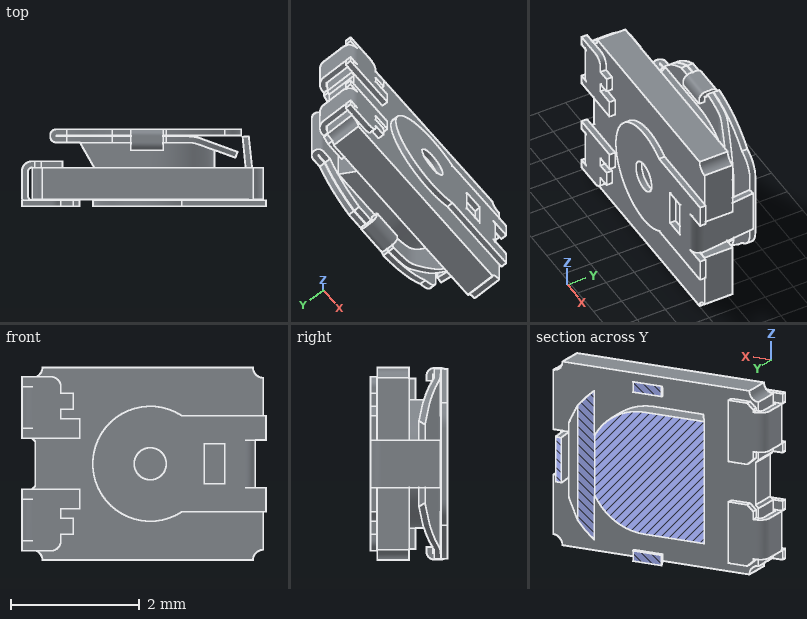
import cadquery as cq
import math

SHEET = 0.1

HOUSING_FRONT = 0.105
HOUSING_BACK = HOUSING_FRONT + 0.5
HOUSING_LEFT = -1.84
HOUSING_RIGHT = 1.76
HOUSING_HEIGHT = 3.0
CORNER_RADIUS = 0.16
RECESS_DEPTH = 0.05
RECESS_HALF_HEIGHT = 0.345

DISC_RADIUS = 0.895
ARM_HALF_HEIGHT = 0.75
ARM_RIGHT = 1.805
CENTRE_HOLE_DIAMETER = 0.5
WINDOW_LEFT = 0.84
WINDOW_RIGHT = 1.16
WINDOW_HEIGHT = 0.62
TAB_HALF_HEIGHT = 0.37
TAB_INNER_X = 1.53
TAB_TIP_Y = 1.095
TAB_LEAN = math.radians(5.5)
TAB_BEND_RADIUS = 0.15
TAB_ROOT_X = 1.485

TERMINAL_LEFT = -2.0
FOOT_OUTER_Z = 1.355
FOOT_INNER_Z = 0.395
FOOT_RIGHT = -1.39
FOOT_CORNER_RADIUS = 0.16
SHORT_FINGER_RIGHT = -1.195
SHORT_FINGER_TOP_Z = 1.1
SHORT_FINGER_BOTTOM_Z = 0.845
LONG_FINGER_RIGHT = -1.1
LONG_FINGER_TOP_Z = 0.697
STRAP_OUTER_Z = 1.197
STRAP_INNER_Z = 0.552
STRAP_BEND_RADIUS = 0.16
PLATE_LEFT = -1.8
PLATE_RIGHT = -1.365
PLATE_OUTER_Z = 1.33
PLATE_INNER_Z = 0.33
PLATE_CHAMFER_X = 0.105
PLATE_CHAMFER_Z = 0.093

ROTOR_RADIUS = 1.0
ROTOR_FOOT_LEFT = -0.875
ROTOR_TOP_LEFT = -1.095

COVER_BACK = 1.203
FOLD_GAP = 0.01
UPPER_FRONT = COVER_BACK - SHEET
LOWER_BACK = UPPER_FRONT - FOLD_GAP
LOWER_FRONT = LOWER_BACK - SHEET
COVER_RADIUS = 1.5
COVER_FLAT_Z = 1.38
FOLD_HALF_HEIGHT = 0.75
FOLD_LEFT = -1.56
FOLD_RADIUS = 0.1
NOSE_START_X = 1.158
NOSE_START_Z = math.sqrt(COVER_RADIUS**2 - NOSE_START_X**2)
NOSE_RIGHT = 1.417
NOSE_RADIUS = 0.42
FLAP_BEND_X = 0.597
FLAP_BEND_RADIUS = 0.45
FLAP_ANGLE = math.radians(20)
FLAP_TIP_X = 1.36
FLAP_TIP_HALF_HEIGHT = 0.61
STEP_TOP_X = 0.252
CLIP_LEFT = -0.302
CLIP_RIGHT = 0.2
CLIP_OUTER_Z = 1.492
CLIP_FRONT = 0.872
CLIP_LIP_Z = 1.292
CLIP_BACK_BEND_RADIUS = 0.1
CLIP_FRONT_BEND_RADIUS = 0.122


def extrude_y(outline, front, back):
    """Extrude an outline drawn on an "XZ" workplane from y = front to y = back."""
    return outline.extrude(front - back).translate((0, front, 0))


def block(x0, x1, y0, y1, z0, z1):
    return cq.Workplane("XY").box(x1 - x0, y1 - y0, z1 - z0, centered=False).translate((x0, y0, z0))


def mirror_z(body):
    return body.mirror("XY")


def tab_inner_x(y):
    """X of the inner face of the leaning tab at a given y."""
    return TAB_INNER_X - (y - SHEET) * math.tan(TAB_LEAN)


def on_flap_bend(radius, angle):
    """Point on the bend at the root of the flap."""
    centre_y = LOWER_FRONT - FLAP_BEND_RADIUS
    return FLAP_BEND_X + radius * math.sin(angle), centre_y + radius * math.cos(angle)


def make_housing():
    top = HOUSING_HEIGHT / 2
    body = block(HOUSING_LEFT, HOUSING_RIGHT, HOUSING_FRONT, HOUSING_BACK, -top, top)
    corners = [(x, z) for x in (HOUSING_LEFT, HOUSING_RIGHT) for z in (-top, top)]
    scoops = cq.Workplane("XZ").pushPoints(corners).circle(CORNER_RADIUS)
    body = body.cut(extrude_y(scoops, HOUSING_FRONT, HOUSING_BACK))

    floor_x = HOUSING_LEFT + RECESS_DEPTH
    mouth = RECESS_HALF_HEIGHT + RECESS_DEPTH
    recess = cq.Workplane("XZ").polyline([
        (HOUSING_LEFT, -mouth),
        (floor_x, -RECESS_HALF_HEIGHT),
        (floor_x, RECESS_HALF_HEIGHT),
        (HOUSING_LEFT, mouth),
    ]).close()
    body = body.cut(extrude_y(recess, HOUSING_FRONT, HOUSING_BACK))

    slot_left = tab_inner_x(HOUSING_BACK)
    slot = block(slot_left, HOUSING_RIGHT, HOUSING_FRONT, HOUSING_BACK, -TAB_HALF_HEIGHT, TAB_HALF_HEIGHT)
    return body.cut(slot)


def make_centre_terminal():
    junction_x = math.sqrt(DISC_RADIUS**2 - ARM_HALF_HEIGHT**2)
    outline = (
        cq.Workplane("XZ").moveTo(ARM_RIGHT, -ARM_HALF_HEIGHT)
        .lineTo(ARM_RIGHT, ARM_HALF_HEIGHT)
        .lineTo(junction_x, ARM_HALF_HEIGHT)
        .threePointArc((0, DISC_RADIUS), (-DISC_RADIUS, 0))
        .threePointArc((0, -DISC_RADIUS), (junction_x, -ARM_HALF_HEIGHT))
        .close()
    )
    body = extrude_y(outline, 0, SHEET)
    hole = extrude_y(cq.Workplane("XZ").circle(CENTRE_HOLE_DIAMETER / 2), 0, SHEET)
    window = block(WINDOW_LEFT, WINDOW_RIGHT, 0, SHEET, -WINDOW_HEIGHT / 2, WINDOW_HEIGHT / 2)
    prong_gap = block(TAB_ROOT_X, ARM_RIGHT, 0, SHEET, -TAB_HALF_HEIGHT, TAB_HALF_HEIGHT)
    body = body.cut(hole).cut(window).cut(prong_gap)

    across = (math.cos(TAB_LEAN), math.sin(TAB_LEAN))
    tip_inner_y = TAB_TIP_Y - SHEET * across[1]
    tip_inner = (tab_inner_x(tip_inner_y), tip_inner_y)
    root_inner = (TAB_INNER_X, SHEET)
    tip_outer = (tip_inner[0] + SHEET * across[0], tip_inner[1] + SHEET * across[1])
    bend_centre = (TAB_ROOT_X, TAB_BEND_RADIUS)
    bend_end = (
        bend_centre[0] + TAB_BEND_RADIUS * across[0],
        bend_centre[1] + TAB_BEND_RADIUS * across[1],
    )
    middle_angle = (TAB_LEAN - math.pi / 2) / 2
    bend_middle = (
        bend_centre[0] + TAB_BEND_RADIUS * math.cos(middle_angle),
        bend_centre[1] + TAB_BEND_RADIUS * math.sin(middle_angle),
    )
    tab = (
        cq.Workplane("XY").moveTo(TAB_ROOT_X, 0)
        .threePointArc(bend_middle, bend_end)
        .lineTo(*tip_outer).lineTo(*tip_inner).lineTo(*root_inner).lineTo(TAB_ROOT_X, SHEET).close()
        .extrude(TAB_HALF_HEIGHT, both=True)
    )
    return body.union(tab)


def make_side_terminal():
    foot_outline = (
        cq.Workplane("XZ").moveTo(TERMINAL_LEFT, FOOT_INNER_Z)
        .lineTo(LONG_FINGER_RIGHT, FOOT_INNER_Z)
        .lineTo(LONG_FINGER_RIGHT, LONG_FINGER_TOP_Z)
        .lineTo(FOOT_RIGHT, LONG_FINGER_TOP_Z)
        .lineTo(FOOT_RIGHT, SHORT_FINGER_BOTTOM_Z)
        .lineTo(SHORT_FINGER_RIGHT, SHORT_FINGER_BOTTOM_Z)
        .lineTo(SHORT_FINGER_RIGHT, SHORT_FINGER_TOP_Z)
        .lineTo(FOOT_RIGHT, SHORT_FINGER_TOP_Z)
        .lineTo(FOOT_RIGHT, FOOT_OUTER_Z - FOOT_CORNER_RADIUS)
        .tangentArcPoint((FOOT_RIGHT - FOOT_CORNER_RADIUS, FOOT_OUTER_Z), relative=False)
        .lineTo(TERMINAL_LEFT, FOOT_OUTER_Z)
        .close()
    )
    foot = extrude_y(foot_outline, 0, SHEET)
    bend_end_x = TERMINAL_LEFT + STRAP_BEND_RADIUS
    foot = foot.cut(block(TERMINAL_LEFT, bend_end_x, 0, SHEET, STRAP_INNER_Z, STRAP_OUTER_Z))

    plate_back = HOUSING_BACK + SHEET
    outside = (
        block(TERMINAL_LEFT, PLATE_LEFT, 0, plate_back, STRAP_INNER_Z, STRAP_OUTER_Z)
        .edges("<X and |Z").fillet(STRAP_BEND_RADIUS)
    )
    inside = (
        block(TERMINAL_LEFT + SHEET, PLATE_RIGHT, SHEET, HOUSING_BACK, STRAP_INNER_Z, STRAP_OUTER_Z)
        .edges("<X and |Z").fillet(STRAP_BEND_RADIUS - SHEET)
    )
    strap = outside.cut(inside)

    plate_outline = cq.Workplane("XZ").polyline([
        (PLATE_LEFT, PLATE_INNER_Z + PLATE_CHAMFER_Z),
        (PLATE_LEFT + PLATE_CHAMFER_X, PLATE_INNER_Z),
        (PLATE_RIGHT, PLATE_INNER_Z),
        (PLATE_RIGHT, PLATE_OUTER_Z),
        (PLATE_LEFT + PLATE_CHAMFER_X, PLATE_OUTER_Z),
        (PLATE_LEFT, PLATE_OUTER_Z - PLATE_CHAMFER_Z),
    ]).close()
    plate = extrude_y(plate_outline, HOUSING_BACK, plate_back)
    return foot.union(strap).union(plate)


def make_rotor():
    bend_end = on_flap_bend(FLAP_BEND_RADIUS, FLAP_ANGLE)
    right_top_y = bend_end[1] - (ROTOR_RADIUS - bend_end[0]) * math.tan(FLAP_ANGLE)
    side = (
        cq.Workplane("XY").moveTo(ROTOR_FOOT_LEFT, HOUSING_BACK)
        .lineTo(ROTOR_RADIUS, HOUSING_BACK)
        .lineTo(ROTOR_RADIUS, right_top_y)
        .lineTo(*bend_end)
        .threePointArc(on_flap_bend(FLAP_BEND_RADIUS, FLAP_ANGLE / 2), (FLAP_BEND_X, LOWER_FRONT))
        .lineTo(ROTOR_TOP_LEFT, LOWER_FRONT)
        .close()
        .extrude(ROTOR_RADIUS, both=True)
    )
    outline = (
        cq.Workplane("XZ").moveTo(ROTOR_TOP_LEFT, -ROTOR_RADIUS)
        .lineTo(0, -ROTOR_RADIUS)
        .threePointArc((ROTOR_RADIUS, 0), (0, ROTOR_RADIUS))
        .lineTo(ROTOR_TOP_LEFT, ROTOR_RADIUS)
        .close()
    )
    return side.intersect(extrude_y(outline, HOUSING_BACK, LOWER_FRONT))


def on_cover_circle(angle):
    return COVER_RADIUS * math.cos(angle), COVER_RADIUS * math.sin(angle)


def rounded_end(outline):
    """Right end of the upper leaf: a straight edge with a round corner."""
    centre_x = NOSE_RIGHT - NOSE_RADIUS
    start_angle = math.acos((NOSE_START_X - centre_x) / NOSE_RADIUS)
    centre_z = NOSE_START_Z - NOSE_RADIUS * math.sin(start_angle)
    middle = (
        centre_x + NOSE_RADIUS * math.cos(start_angle / 2),
        centre_z + NOSE_RADIUS * math.sin(start_angle / 2),
    )
    return outline.threePointArc(middle, (NOSE_RIGHT, centre_z)).lineTo(NOSE_RIGHT, 0)


def flap_end(outline):
    """Right end of the lower leaf: a straight taper to the flap tip."""
    return outline.lineTo(FLAP_TIP_X, FLAP_TIP_HALF_HEIGHT).lineTo(FLAP_TIP_X, 0)


def cover_outline(draw_right_end):
    """Upper half of the outline of one leaf, from the fold to the right end."""
    fold_angle = math.pi - math.asin(FOLD_HALF_HEIGHT / COVER_RADIUS)
    flat_angle = math.pi - math.asin(COVER_FLAT_Z / COVER_RADIUS)
    step_angle = math.acos(STEP_TOP_X / COVER_RADIUS)
    nose_angle = math.acos(NOSE_START_X / COVER_RADIUS)
    leaf_left = FOLD_LEFT + SHEET
    outline = (
        cq.Workplane("XZ").moveTo(leaf_left, 0)
        .lineTo(leaf_left, FOLD_HALF_HEIGHT)
        .lineTo(*on_cover_circle(fold_angle))
        .threePointArc(on_cover_circle((fold_angle + flat_angle) / 2), on_cover_circle(flat_angle))
        .lineTo(CLIP_RIGHT, COVER_FLAT_Z)
        .lineTo(*on_cover_circle(step_angle))
        .threePointArc(on_cover_circle((step_angle + nose_angle) / 2), on_cover_circle(nose_angle))
    )
    return draw_right_end(outline).close()


def make_fold():
    """Left end joining the two leaves, rounded outside and closed flat at the gap."""
    gap_left = FOLD_LEFT + SHEET
    right = gap_left + SHEET
    body = block(FOLD_LEFT, right, LOWER_FRONT, COVER_BACK, -FOLD_HALF_HEIGHT, FOLD_HALF_HEIGHT)
    body = body.edges("<X and |Z").fillet(FOLD_RADIUS)
    return body.cut(block(gap_left, right, LOWER_BACK, UPPER_FRONT, -FOLD_HALF_HEIGHT, FOLD_HALF_HEIGHT))


def make_lower_leaf():
    """Leaf against the rotor, cut from a plan outline and a side profile with the sloping flap."""
    half_plan = extrude_y(cover_outline(flap_end), 0, LOWER_BACK)
    plan = half_plan.union(mirror_z(half_plan))

    back_radius = FLAP_BEND_RADIUS + SHEET
    front_bend_end = on_flap_bend(FLAP_BEND_RADIUS, FLAP_ANGLE)
    back_bend_end = on_flap_bend(back_radius, FLAP_ANGLE)
    drop = (FLAP_TIP_X - back_bend_end[0]) * math.tan(FLAP_ANGLE)
    back_tip = (FLAP_TIP_X, back_bend_end[1] - drop)
    front_tip = (
        back_tip[0] - SHEET * math.sin(FLAP_ANGLE),
        back_tip[1] - SHEET * math.cos(FLAP_ANGLE),
    )
    profile = (
        cq.Workplane("XY").moveTo(FOLD_LEFT, LOWER_FRONT)
        .lineTo(FLAP_BEND_X, LOWER_FRONT)
        .threePointArc(on_flap_bend(FLAP_BEND_RADIUS, FLAP_ANGLE / 2), front_bend_end)
        .lineTo(*front_tip)
        .lineTo(*back_tip)
        .lineTo(*back_bend_end)
        .threePointArc(on_flap_bend(back_radius, FLAP_ANGLE / 2), (FLAP_BEND_X, LOWER_BACK))
        .lineTo(FOLD_LEFT, LOWER_BACK)
        .close()
        .extrude(COVER_RADIUS, both=True)
    )
    return plan.intersect(profile)


def make_clip():
    """Hook bent from the upper leaf around the edge of the lower leaf."""
    outside = block(CLIP_LEFT, CLIP_RIGHT, CLIP_FRONT, COVER_BACK, CLIP_LIP_Z, CLIP_OUTER_Z)
    outside = outside.edges(">Z and >Y").fillet(CLIP_BACK_BEND_RADIUS)
    outside = outside.edges(">Z and <Y").fillet(CLIP_FRONT_BEND_RADIUS)
    inner_z = CLIP_OUTER_Z - SHEET
    inside = block(CLIP_LEFT, CLIP_RIGHT, CLIP_FRONT + SHEET, UPPER_FRONT, CLIP_LIP_Z, inner_z)
    return outside.cut(inside)


def make_cover():
    half_upper = extrude_y(cover_outline(rounded_end), UPPER_FRONT, COVER_BACK)
    half_cover = half_upper.union(make_clip())
    return half_cover.union(mirror_z(half_cover)).union(make_fold()).union(make_lower_leaf())


housing = make_housing()
centre_terminal = make_centre_terminal()
side_terminals = [make_side_terminal(), mirror_z(make_side_terminal())]
rotor = make_rotor()
cover = make_cover()
result = cq.Compound.makeCompound([
    housing.val(),
    centre_terminal.val(),
    *[terminal.val() for terminal in side_terminals],
    rotor.val(),
    cover.val(),
])